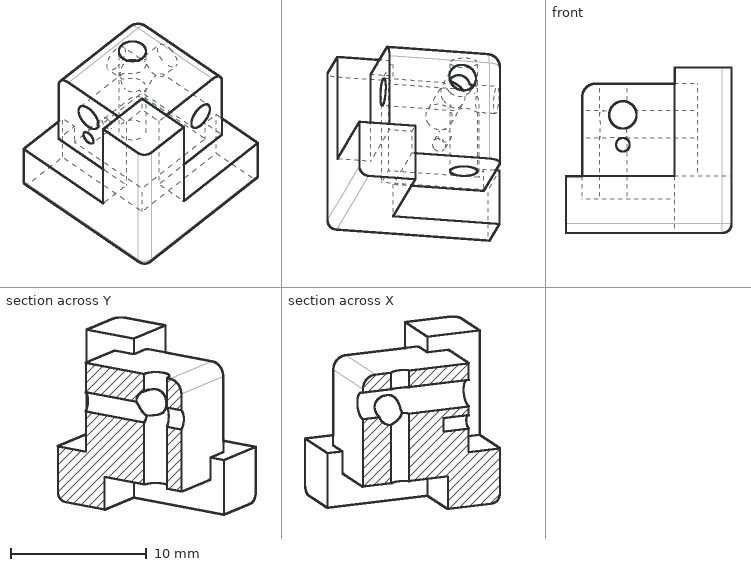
import cadquery as cq

size = 12.2
arm_width = 4.2
arm_edge_radius = 0.7

cube_inset = 1.2
cube_overlap_start = 2.5
cube_side = size - cube_inset - cube_overlap_start
cube_edge_radius = 1.0

hole_diameter = 2.0
pin_hole_diameter = 1.0
pin_hole_depth = 2.0
y_hole_x, y_hole_z = 4.2, 8.7
pin_hole_z = 6.5
z_hole_x, z_hole_y = 3.49, 8.0
x_hole_y, x_hole_z = 8.7, 8.0


def block(length_x, length_y, length_z, corner):
    """Box whose lowest X, Y, Z corner is at the given point."""
    return cq.Workplane("XY").box(length_x, length_y, length_z, centered=False).translate(corner)


def drill(start, direction, diameter, depth):
    """Cylinder used to cut a hole from a start point along a direction."""
    return cq.Solid.makeCylinder(diameter / 2, depth, cq.Vector(*start), cq.Vector(*direction))


def make_arms():
    """Arms along X, Y and Z meeting at the (+X, -Y, -Z) corner, outer edges rounded."""
    arm_x = size - arm_width
    arms = block(size, arm_width, arm_width, (0, 0, 0))
    arms = arms.union(block(arm_width, size, arm_width, (arm_x, 0, 0)))
    arms = arms.union(block(arm_width, arm_width, size, (arm_x, 0, 0)))
    outer_edges = arms.edges("(<Z and <Y) or (<Z and >X) or (<Y and >X)")
    return outer_edges.fillet(arm_edge_radius)


def make_cube():
    """Cube with the three edges of its (-X, +Y, +Z) corner rounded."""
    corner = (cube_inset, cube_overlap_start, cube_overlap_start)
    cube = block(cube_side, cube_side, cube_side, corner)
    rounded_edges = cube.edges("(<X and >Y) or (<X and >Z) or (>Y and >Z)")
    return rounded_edges.fillet(cube_edge_radius)


result = make_arms().union(make_cube())

result = result.cut(drill((0, x_hole_y, x_hole_z), (1, 0, 0), hole_diameter, size))
result = result.cut(drill((y_hole_x, 0, y_hole_z), (0, 1, 0), hole_diameter, size))
result = result.cut(drill((z_hole_x, z_hole_y, 0), (0, 0, 1), hole_diameter, size))

pin_hole_start = (y_hole_x, cube_overlap_start, pin_hole_z)
result = result.cut(drill(pin_hole_start, (0, 1, 0), pin_hole_diameter, pin_hole_depth))